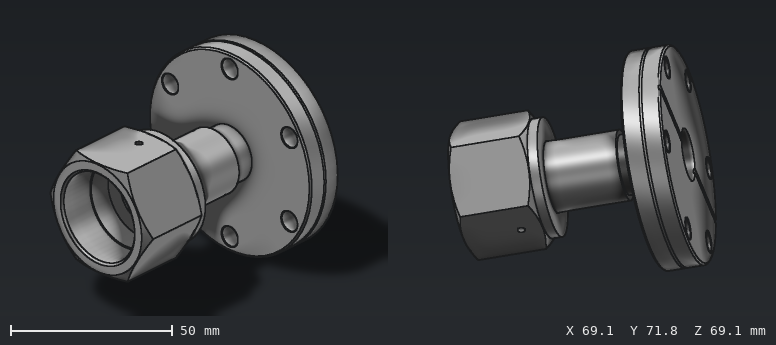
import cadquery as cq
import math

TOTAL_LENGTH = 71.8
BORE_DIAMETER = 16.5

FLANGE_DIAMETER = 69.1
FLANGE_THICKNESS = 12.7
FLANGE_CHAMFER = 0.6
RIM_GROOVE_WIDTH = 0.85
RIM_GROOVE_DEPTH = 0.2
RIM_GROOVE_DISTANCE = 6.25
BOLT_COUNT = 6
BOLT_HOLE_DIAMETER = 6.7
BOLT_HOLE_CHAMFER = 0.2
BOLT_CIRCLE_DIAMETER = 58.7
LEAK_GROOVE_DIAMETER = 2.0
LEAK_GROOVE_DEPTH = 0.6

TUBE_DIAMETER = 19.0
TUBE_LENGTH = 7.5

SLEEVE_DIAMETER = 22.3
HEAD_DIAMETER = 27.4
HEAD_LENGTH = 5.0
GLAND_END_DISTANCE = 52.75

NUT_LENGTH = 28.5
COLLAR_DIAMETER = 37.6
COLLAR_LENGTH = 3.15
HEX_SIDES = 6
HEX_ACROSS_FLATS = 38.05
HEX_CHAMFER_ANGLE = 30.0
SLEEVE_HOLE_DIAMETER = 22.6
NUT_BORE_DIAMETER = 29.2
THREAD_DIAMETER = 30.2
THREAD_DEPTH = 12.4
MOUTH_DIAMETER = 31.7
VENT_HOLE_DIAMETER = 2.3
VENT_HOLE_DISTANCE = 53.25

flange_front = -FLANGE_THICKNESS
tube_end = flange_front - TUBE_LENGTH
gland_end = -GLAND_END_DISTANCE
head_start = gland_end + HEAD_LENGTH
nut_mouth = -TOTAL_LENGTH
nut_back = nut_mouth + NUT_LENGTH
hex_back = nut_back - COLLAR_LENGTH
thread_end = nut_mouth + THREAD_DEPTH


def revolve_about_y(points):
    """Revolve a closed (radius, y) outline about the Y axis."""
    return cq.Workplane("XY").polyline(points).close().revolve(360, (0, 0, 0), (0, 1, 0))


def cylinder(diameter, y_start, y_end):
    """Solid cylinder on the Y axis between two stations."""
    radius = diameter / 2
    return revolve_about_y([(0, y_start), (radius, y_start), (radius, y_end), (0, y_end)])


def bolt_hole_cutter(angle):
    """One bolt hole with both of its rims chamfered."""
    radius = BOLT_HOLE_DIAMETER / 2
    rim_radius = radius + BOLT_HOLE_CHAMFER
    cutter = revolve_about_y([
        (0, 0),
        (rim_radius, 0),
        (radius, -BOLT_HOLE_CHAMFER),
        (radius, flange_front + BOLT_HOLE_CHAMFER),
        (rim_radius, flange_front),
        (0, flange_front),
    ])
    return cutter.translate((BOLT_CIRCLE_DIAMETER / 2, 0, 0)).rotate((0, 0, 0), (0, 1, 0), angle)


def make_flange():
    body = cylinder(FLANGE_DIAMETER, 0, flange_front).edges().chamfer(FLANGE_CHAMFER)

    rim = FLANGE_DIAMETER / 2
    rim_groove = (
        cq.Workplane("XY")
        .moveTo(rim, -RIM_GROOVE_DISTANCE + RIM_GROOVE_WIDTH / 2)
        .threePointArc(
            (rim - RIM_GROOVE_DEPTH, -RIM_GROOVE_DISTANCE),
            (rim, -RIM_GROOVE_DISTANCE - RIM_GROOVE_WIDTH / 2),
        )
        .close()
        .revolve(360, (0, 0, 0), (0, 1, 0))
    )
    body = body.cut(rim_groove)

    body = body.cut(cylinder(BORE_DIAMETER, 0, flange_front))

    first_angle = 360 / BOLT_COUNT / 2
    for index in range(BOLT_COUNT):
        body = body.cut(bolt_hole_cutter(first_angle + index * 360 / BOLT_COUNT))

    leak_groove = (
        cq.Workplane("YZ")
        .center(LEAK_GROOVE_DIAMETER / 2 - LEAK_GROOVE_DEPTH, 0)
        .circle(LEAK_GROOVE_DIAMETER / 2)
        .extrude(FLANGE_DIAMETER / 2, both=True)
    )
    return body.cut(leak_groove)


def make_tube():
    tube = cylinder(TUBE_DIAMETER, flange_front, tube_end)
    return tube.cut(cylinder(BORE_DIAMETER, flange_front, tube_end))


def make_gland():
    sleeve = cylinder(SLEEVE_DIAMETER, tube_end, gland_end)
    head = cylinder(HEAD_DIAMETER, head_start, gland_end)
    return sleeve.union(head).cut(cylinder(BORE_DIAMETER, tube_end, gland_end))


def make_nut():
    corner_radius = HEX_ACROSS_FLATS / 2 / math.cos(math.pi / HEX_SIDES)
    hexagon = (
        cq.Workplane("XZ", origin=(0, hex_back, 0))
        .polygon(HEX_SIDES, 2 * corner_radius)
        .extrude(hex_back - nut_mouth)
    )

    end_radius = COLLAR_DIAMETER / 2
    trim_length = (corner_radius - end_radius) * math.tan(math.radians(HEX_CHAMFER_ANGLE))
    hexagon = hexagon.intersect(revolve_about_y([
        (0, hex_back),
        (end_radius, hex_back),
        (corner_radius, hex_back - trim_length),
        (corner_radius, nut_mouth + trim_length),
        (end_radius, nut_mouth),
        (0, nut_mouth),
    ]))
    body = hexagon.union(cylinder(COLLAR_DIAMETER, nut_back, hex_back))

    sleeve_hole_radius = SLEEVE_HOLE_DIAMETER / 2
    bore_radius = NUT_BORE_DIAMETER / 2
    thread_radius = THREAD_DIAMETER / 2
    mouth_radius = MOUTH_DIAMETER / 2
    mouth_chamfer = mouth_radius - thread_radius
    body = body.cut(revolve_about_y([
        (0, nut_back),
        (sleeve_hole_radius, nut_back),
        (sleeve_hole_radius, head_start),
        (bore_radius, head_start),
        (bore_radius, thread_end),
        (thread_radius, thread_end),
        (thread_radius, nut_mouth + mouth_chamfer),
        (mouth_radius, nut_mouth),
        (0, nut_mouth),
    ]))

    vent_hole = (
        cq.Workplane("XY", origin=(0, -VENT_HOLE_DISTANCE, 0))
        .circle(VENT_HOLE_DIAMETER / 2)
        .extrude(HEX_ACROSS_FLATS, both=True)
    )
    return body.cut(vent_hole)


flange = make_flange()
tube = make_tube()
gland = make_gland()
nut = make_nut()

result = cq.Compound.makeCompound([flange.val(), tube.val(), gland.val(), nut.val()])